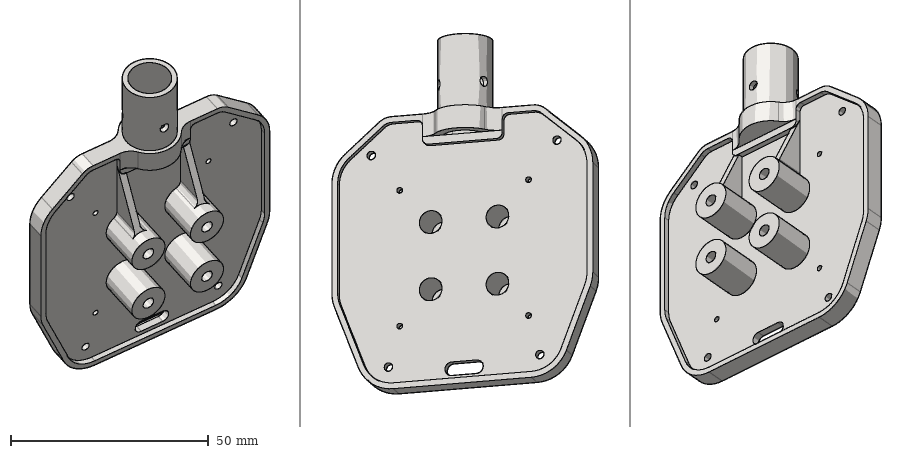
import cadquery as cq
import math

TOTAL_HEIGHT = 90.5
TOTAL_DEPTH = 21.0

PLATE_THICKNESS = 5.2
PLATE_HEIGHT = 71.5
PLATE_HALF_WIDTH = 34.5
TOP_HALF_WIDTH = 20.5
SHOULDER_Z = 59.6
WAIST_Z = 24.4
BOTTOM_HALF_WIDTH = 25.1
TOP_CORNER_RADIUS = 5.0
CORNER_RADIUS = 10.0

RIM_WIDTH = 1.5
POCKET_DEPTH = 1.5
PAD_CORNER_RADIUS = 1.5
PAD_DROP = 2.1

TUBE_RADIUS = 7.0
BORE_RADIUS = 5.5
COLLAR_DIAMETER = 16.0
COLLAR_HEIGHT = 6.0
COLLAR_BLEND_RADIUS = 5.0
SET_SCREW_DIAMETER = 2.5
SET_SCREW_Z = 78.5
SET_SCREW_COUNT = 3
CABLE_SLOT_WIDTH = 9.8
CABLE_SLOT_CORNER_RADIUS = 1.5

BOSS_PITCH = 17.65
BOSS_GROUP_Z = 34.6
BOSS_RADIUS = 5.0
BOSS_SCREW_DIAMETER = 3.2
BOSS_HEAD_DIAMETER = 6.0
BOSS_END_WALL = 3.0

RIB_Y = 9.6
RIB_WIDTH = 2.0
RIB_FILLET = 2.0
RIB_TOP_Z = 62.9
RIB_LENGTH = 7.0

BOARD_HOLE_DIAMETER = 1.45
BOARD_HOLE_PITCH_Y = 34.0
BOARD_HOLE_PITCH_Z = 35.7
COVER_HOLE_DIAMETER = 2.2
UPPER_COVER_HOLE_Y = 24.5
UPPER_COVER_HOLE_Z = 62.2
LOWER_COVER_HOLE_Y = 20.0
LOWER_COVER_HOLE_Z = 6.2
STRAP_SLOT_LENGTH = 10.05
STRAP_SLOT_WIDTH = 3.5
STRAP_SLOT_Z = 4.4

FRONT_X = -PLATE_THICKNESS / 2
BACK_X = PLATE_THICKNESS / 2
COLLAR_RADIUS = COLLAR_DIAMETER / 2
BOSS_END_X = TOTAL_DEPTH - COLLAR_RADIUS
POCKET_FLOOR_X = FRONT_X + POCKET_DEPTH
COLLAR_BOTTOM_Z = PLATE_HEIGHT - COLLAR_HEIGHT
PAD_BOTTOM_Z = COLLAR_BOTTOM_Z - PAD_DROP
UPPER_BOSS_Y = BOSS_PITCH / 2
UPPER_BOSS_Z = BOSS_GROUP_Z + BOSS_PITCH / 2
BLEND_X = BACK_X + COLLAR_BLEND_RADIUS
BLEND_Y = math.sqrt((COLLAR_RADIUS + COLLAR_BLEND_RADIUS) ** 2 - BLEND_X**2)

MARGIN = 0.9


def yz_plane(x):
    """Workplane at the given X whose local axes are Y and Z, extruding towards +X."""
    return cq.Workplane("YZ", origin=(x, 0, 0))


def xy_plane(z):
    return cq.Workplane("XY", origin=(0, 0, z))


def box_between(low, high):
    """Box spanning two opposite corner points."""
    sizes = [top - bottom for bottom, top in zip(low, high)]
    return cq.Workplane("XY").box(*sizes, centered=False).translate(low)


def plate_blank():
    """Eight-sided plate with rounded corners."""
    right_side = [
        (BOTTOM_HALF_WIDTH, 0),
        (PLATE_HALF_WIDTH, WAIST_Z),
        (PLATE_HALF_WIDTH, SHOULDER_Z),
        (TOP_HALF_WIDTH, PLATE_HEIGHT),
    ]
    left_side = [(-y, z) for y, z in reversed(right_side)]
    blank = yz_plane(FRONT_X).polyline(right_side + left_side).close().extrude(PLATE_THICKNESS)
    blank = blank.faces(">Z").edges("|X").fillet(TOP_CORNER_RADIUS)
    lower_corners = cq.selectors.BoxSelector(
        (FRONT_X, -PLATE_HALF_WIDTH - MARGIN, -MARGIN),
        (BACK_X, PLATE_HALF_WIDTH + MARGIN, SHOULDER_Z + MARGIN),
    )
    return blank.edges("|X").edges(lower_corners).fillet(CORNER_RADIUS)


def pocket(blank):
    """Front pocket: plate outline inset by the rim width, less the pad that carries the collar."""
    outline = blank.faces("<X").wires().val()
    recess = yz_plane(FRONT_X).add(outline).toPending().offset2D(-RIM_WIDTH).extrude(POCKET_DEPTH)
    pad_low = (FRONT_X, -BLEND_Y, PAD_BOTTOM_Z)
    pad_high = (POCKET_FLOOR_X, BLEND_Y, PLATE_HEIGHT)
    recess = recess.cut(box_between(pad_low, pad_high))
    around_pad = cq.selectors.BoxSelector(
        (FRONT_X, -BLEND_Y - MARGIN, PAD_BOTTOM_Z - MARGIN),
        (POCKET_FLOOR_X, BLEND_Y + MARGIN, PLATE_HEIGHT),
    )
    return recess.edges("|X").edges(around_pad).fillet(PAD_CORNER_RADIUS)


def collar():
    """Round collar running into both plate faces through tangent concave arcs."""
    tangent_share = COLLAR_RADIUS / (COLLAR_RADIUS + COLLAR_BLEND_RADIUS)
    tangent_x = BLEND_X * tangent_share
    tangent_y = BLEND_Y * tangent_share
    mid_angle = (math.pi + math.atan2(BLEND_Y, BLEND_X) + math.pi) / 2
    middle_x = BLEND_X + COLLAR_BLEND_RADIUS * math.cos(mid_angle)
    middle_y = BLEND_Y + COLLAR_BLEND_RADIUS * math.sin(mid_angle)
    return (
        xy_plane(COLLAR_BOTTOM_Z)
        .moveTo(BACK_X, BLEND_Y)
        .threePointArc((middle_x, middle_y), (tangent_x, tangent_y))
        .threePointArc((COLLAR_RADIUS, 0), (tangent_x, -tangent_y))
        .threePointArc((middle_x, -middle_y), (BACK_X, -BLEND_Y))
        .lineTo(FRONT_X, -BLEND_Y)
        .threePointArc((-middle_x, -middle_y), (-tangent_x, -tangent_y))
        .threePointArc((-COLLAR_RADIUS, 0), (-tangent_x, tangent_y))
        .threePointArc((-middle_x, middle_y), (FRONT_X, BLEND_Y))
        .close()
        .extrude(COLLAR_HEIGHT)
    )


def tube():
    return xy_plane(PLATE_HEIGHT).circle(TUBE_RADIUS).extrude(TOTAL_HEIGHT - PLATE_HEIGHT)


def tube_bore():
    """Bore ending level with the top of the plate."""
    return xy_plane(PLATE_HEIGHT).circle(BORE_RADIUS).extrude(TOTAL_HEIGHT - PLATE_HEIGHT)


def cable_slot():
    """Front part of the bore continued down through the collar, with a straight back wall at X = 0."""
    low = (-BORE_RADIUS, -CABLE_SLOT_WIDTH / 2, COLLAR_BOTTOM_Z)
    high = (0, CABLE_SLOT_WIDTH / 2, PLATE_HEIGHT)
    slot = box_between(low, high).edges("|Z and >X").fillet(CABLE_SLOT_CORNER_RADIUS)
    return slot.intersect(xy_plane(COLLAR_BOTTOM_Z).circle(BORE_RADIUS).extrude(COLLAR_HEIGHT))


def set_screw_holes():
    """Radial holes evenly spaced around the tube, the first one facing +X."""
    first = yz_plane(0).center(0, SET_SCREW_Z).circle(SET_SCREW_DIAMETER / 2).extrude(2 * TUBE_RADIUS)
    holes = first
    for index in range(1, SET_SCREW_COUNT):
        holes = holes.union(first.rotate((0, 0, 0), (0, 0, 1), index * 360 / SET_SCREW_COUNT))
    return holes


def boss_grid(x, pitch_y=BOSS_PITCH, pitch_z=BOSS_PITCH):
    """Four points around the centre of the boss group."""
    return yz_plane(x).center(0, BOSS_GROUP_Z).rarray(pitch_y, pitch_z, 2, 2)


def bosses():
    return boss_grid(0).circle(BOSS_RADIUS).extrude(BOSS_END_X)


def rib_side(direction):
    """Ends of the concave fillet between the boss and one rib side: (on the boss, on the rib)."""
    side_y = RIB_Y + direction * RIB_WIDTH / 2
    reach = BOSS_RADIUS + RIB_FILLET
    offset = side_y + direction * RIB_FILLET - UPPER_BOSS_Y
    rise = math.sqrt(reach**2 - offset**2)
    boss_share = BOSS_RADIUS / reach
    on_boss = (UPPER_BOSS_Y + offset * boss_share, UPPER_BOSS_Z + rise * boss_share)
    return on_boss, (side_y, UPPER_BOSS_Z + rise)


def rib():
    """Rib over the +Y upper boss, sloping from the plate down to the top of the boss."""
    run_per_drop = RIB_LENGTH / (RIB_TOP_Z - UPPER_BOSS_Z - BOSS_RADIUS)
    peak_z = RIB_TOP_Z + BACK_X / run_per_drop
    foot_x = BACK_X + run_per_drop * (RIB_TOP_Z - UPPER_BOSS_Z)
    inner_foot, inner_top = rib_side(-1)
    outer_foot, outer_top = rib_side(1)
    cross_section = (
        yz_plane(0)
        .moveTo(UPPER_BOSS_Y, UPPER_BOSS_Z)
        .lineTo(*inner_foot)
        .radiusArc(inner_top, -RIB_FILLET)
        .lineTo(inner_top[0], peak_z)
        .lineTo(outer_top[0], peak_z)
        .lineTo(*outer_top)
        .radiusArc(outer_foot, -RIB_FILLET)
        .close()
        .extrude(BOSS_END_X)
    )
    wedge = (
        cq.Workplane("XZ")
        .polyline([(0, peak_z), (foot_x, UPPER_BOSS_Z), (0, UPPER_BOSS_Z)])
        .close()
        .extrude(-PLATE_HALF_WIDTH)
    )
    return cross_section.intersect(wedge)


def boss_screw_holes():
    """Through holes with a deep wide bore from the front, stopping short at the end wall of each boss."""
    holes = boss_grid(FRONT_X).circle(BOSS_SCREW_DIAMETER / 2).extrude(BOSS_END_X - FRONT_X)
    head_depth = BOSS_END_X - BOSS_END_WALL - FRONT_X
    return holes.union(boss_grid(FRONT_X).circle(BOSS_HEAD_DIAMETER / 2).extrude(head_depth))


def plate_holes():
    board_points = boss_grid(FRONT_X, BOARD_HOLE_PITCH_Y, BOARD_HOLE_PITCH_Z)
    board_holes = board_points.circle(BOARD_HOLE_DIAMETER / 2).extrude(PLATE_THICKNESS)
    cover_points = []
    for side in (-1, 1):
        cover_points.append((side * UPPER_COVER_HOLE_Y, UPPER_COVER_HOLE_Z))
        cover_points.append((side * LOWER_COVER_HOLE_Y, LOWER_COVER_HOLE_Z))
    cover_holes = yz_plane(FRONT_X).pushPoints(cover_points)
    cover_holes = cover_holes.circle(COVER_HOLE_DIAMETER / 2).extrude(PLATE_THICKNESS)
    strap_slot = yz_plane(FRONT_X).center(0, STRAP_SLOT_Z)
    strap_slot = strap_slot.slot2D(STRAP_SLOT_LENGTH, STRAP_SLOT_WIDTH).extrude(PLATE_THICKNESS)
    return board_holes.union(cover_holes).union(strap_slot)


plate = plate_blank()
front_pocket = pocket(plate)
plate = plate.cut(front_pocket).cut(front_pocket.mirror("YZ")).cut(plate_holes())
outer_rib = rib()

result = plate.union(collar()).union(tube())
result = result.cut(tube_bore()).cut(cable_slot()).cut(set_screw_holes())
result = result.union(bosses()).union(outer_rib).union(outer_rib.mirror("XZ"))
result = result.cut(boss_screw_holes())